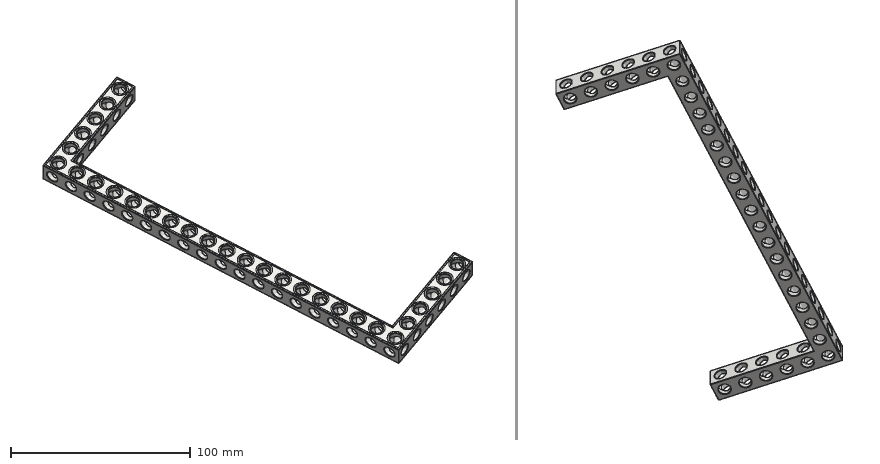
import cadquery as cq

length = 237.5
modules_long = 19
modules_per_leg = 6
module = length / modules_long
leg_length = modules_per_leg * module
mid_module = module / 2
half_length = length / 2

hole_diameter = 7.0
edge_chamfer = 0.3

border_width = 1.2
border_drop = 0.1
border_height = module - border_drop
rim_diameter = hole_diameter + 2 * border_width


def u_block(inset, height):
    """U-shaped block open towards +Y, its outline drawn in by inset on every side."""
    band = module - 2 * inset
    span = length - 2 * inset
    reach = leg_length - 2 * inset
    outer = cq.Workplane("XY").box(span, reach, height, centered=(True, False, False))
    gap = (
        cq.Workplane("XY")
        .box(span - 2 * band, reach, height, centered=(True, False, False))
        .translate((0, band, 0))
    )
    return outer.cut(gap).translate((0, inset, 0))


def chamfered_drill(start, direction, depth):
    """Cutters for a through hole along direction, chamfered at both mouths."""
    radius = hole_diameter / 2
    flare_radius = radius + edge_chamfer
    end = start + direction * depth
    shaft = cq.Solid.makeCylinder(radius, depth, start, direction)
    entry_flare = cq.Solid.makeCone(flare_radius, radius, edge_chamfer, start, direction)
    exit_flare = cq.Solid.makeCone(flare_radius, radius, edge_chamfer, end, direction * -1)
    return [shaft, entry_flare, exit_flare]


def cut_all(part, cutters):
    """Part with all the cutters taken away in one go."""
    return cq.Workplane(part.val().cut(*cutters))


x_centres = [(i + 0.5) * module - half_length for i in range(modules_long)]
y_centres = [(i + 0.5) * module for i in range(modules_per_leg)]
leg_columns = (x_centres[0], x_centres[-1])
bar_row = y_centres[0]
grid = [(x, bar_row) for x in x_centres]
grid += [(x, y) for x in leg_columns for y in y_centres[1:]]

along_x = cq.Vector(1, 0, 0)
along_y = cq.Vector(0, 1, 0)
along_z = cq.Vector(0, 0, 1)

beam = u_block(0, border_height)
inner_corners = beam.edges("|Z").edges(
    cq.selectors.BoxSelector(
        (-half_length + mid_module, mid_module, 0),
        (half_length - mid_module, leg_length - mid_module, border_height),
    )
)
convex_edges = [edge for edge in beam.edges().vals() if edge not in inner_corners.vals()]
beam = beam.newObject(convex_edges).chamfer(edge_chamfer)

land = u_block(border_width, module)
rims = [
    cq.Solid.makeCylinder(rim_diameter / 2, border_drop, cq.Vector(x, y, border_height), along_z)
    for x, y in grid
]
beam = beam.union(cut_all(land, rims))

drills = []
for x, y in grid:
    drills += chamfered_drill(cq.Vector(x, y, 0), along_z, border_height)
beam = cut_all(beam, drills)

drills = []
for x in x_centres:
    depth = leg_length if x in leg_columns else module
    drills += chamfered_drill(cq.Vector(x, 0, mid_module), along_y, depth)
beam = cut_all(beam, drills)

drills = chamfered_drill(cq.Vector(-half_length, bar_row, mid_module), along_x, length)
for y in y_centres[1:]:
    for leg_start in (-half_length, half_length - module):
        drills += chamfered_drill(cq.Vector(leg_start, y, mid_module), along_x, module)
beam = cut_all(beam, drills)

result = cq.Workplane(beam.solids().val())